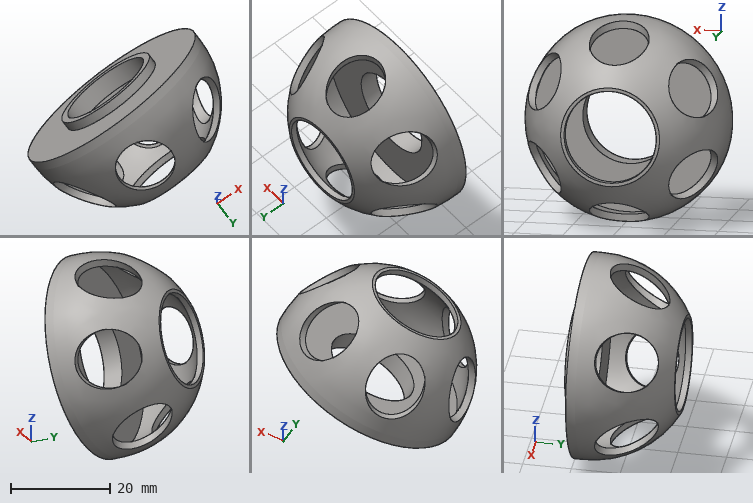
import cadquery as cq
import math

outer_diameter = 42.0
wall_thickness = 1.5
bore_diameter = 19.0
boss_diameter = 22.0
boss_height = 2.0
flange_thickness = 2.0
total_length = 22.4
window_diameter = 12.0
window_height = 9.4
window_count = 6

outer_radius = outer_diameter / 2
inner_radius = outer_radius - wall_thickness
dome_height = total_length - boss_height - flange_thickness
rim_radius = math.sqrt(outer_radius**2 - dome_height**2)
boss_bottom = -flange_thickness - boss_height


def arc_middle(radius, start_angle, end_angle):
    """Point halfway along an arc centred on the origin."""
    angle = (start_angle + end_angle) / 2
    return radius * math.cos(angle), radius * math.sin(angle)


def make_body():
    """Solid of revolution: boss, flange and truncated spherical dome."""
    rim_angle = math.asin(dome_height / outer_radius)
    return (
        cq.Workplane("XY")
        .moveTo(0, boss_bottom)
        .lineTo(boss_diameter / 2, boss_bottom)
        .lineTo(boss_diameter / 2, -flange_thickness)
        .lineTo(outer_radius, -flange_thickness)
        .lineTo(outer_radius, 0)
        .threePointArc(arc_middle(outer_radius, 0, rim_angle), (rim_radius, dome_height))
        .lineTo(0, dome_height)
        .close()
        .revolve(360, (0, 0, 0), (0, 1, 0))
    )


def make_cavity():
    """Hemispherical hollow above the flange."""
    return (
        cq.Workplane("XY")
        .lineTo(inner_radius, 0)
        .threePointArc(arc_middle(inner_radius, 0, math.pi / 2), (0, inner_radius))
        .close()
        .revolve(360, (0, 0, 0), (0, 1, 0))
    )


def make_bore():
    """Straight bore through the boss, the flange and the dome's open end."""
    return (
        cq.Workplane("XZ", origin=(0, boss_bottom, 0))
        .circle(bore_diameter / 2)
        .extrude(-total_length)
    )


def make_window(angle):
    """Round cutter reaching radially outward from the axis, turned about Y."""
    return (
        cq.Workplane("XY")
        .center(0, window_height)
        .circle(window_diameter / 2)
        .extrude(outer_radius)
        .rotate((0, 0, 0), (0, 1, 0), angle)
    )


result = make_body().cut(make_cavity()).cut(make_bore())
for index in range(window_count):
    result = result.cut(make_window(index * 360 / window_count))